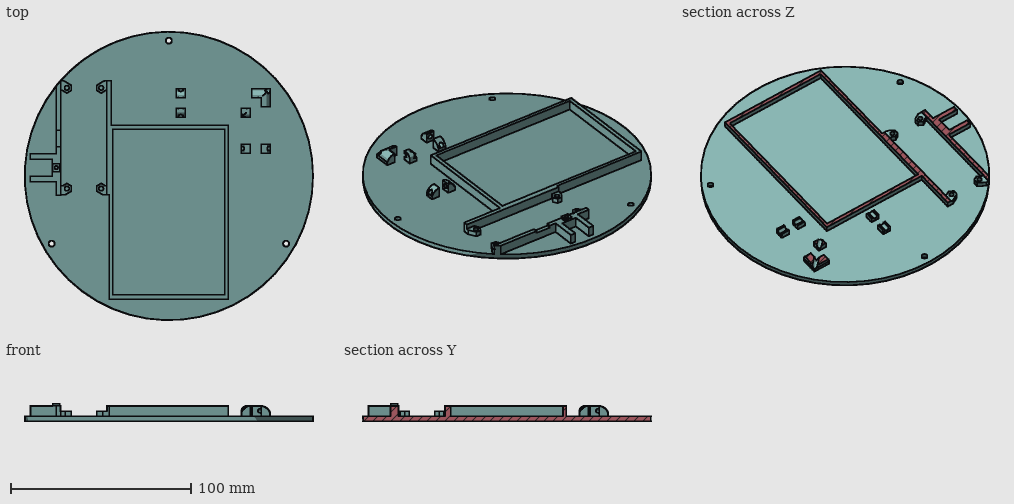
import cadquery as cq
import math

plate_diameter = 160.0
plate_thickness = 2.9
mount_hole_diameter = 3.2
mount_hole_radius = 75.0
mount_hole_count = 3

wall_height = 5.8

rail_thickness = 2.4
rail_gap = 25.6
rail_center_x = -47.2
rail_front_y = -10.4
rail_back_y = 52.8
left_rail_overhang = 0.2
left_rail_inner_x = rail_center_x - rail_gap / 2
right_rail_inner_x = rail_center_x + rail_gap / 2
notch_front_y = 16.2
notch_back_y = 25.3
notch_depth = 1.3

fork_tip_x = -76.8
fork_root_x = -64.6
fork_center_y = 4.6
fork_width = 15.4
fork_slot_width = 9.3
stud_length_x = 4.0
stud_length_y = 4.3
stud_height = 1.3
stud_hole_diameter = 2.0

standoff_height = 2.9
standoff_hex_diameter = 5.8
standoff_hole_diameter = 2.5
standoff_spacing_x = 19.0
standoff_spacing_y = 55.8
standoff_center_x = -47.0
standoff_center_y = 21.0

frame_length_x = 66.0
frame_length_y = 96.5
frame_wall_x = 2.0
frame_wall_y = 2.4
frame_center_y = -20.0

guide_side = 5.0
guide_gap = 6.0
guide_hole_diameter = 2.5
guide_hole_height = 3.0
guide_arc_inset = 5.5
guide_corner_round = 3.2
guide_outer_x = 56.2
guide_outer_y = 48.5
guide_row_x = 6.5
guide_row_y = 15.2
guide_span = 2 * guide_side + guide_gap
guide_arm_length = 10.0
guide_inner_x = guide_outer_x - guide_span
guide_inner_y = guide_outer_y - guide_span


def box_between(x_start, x_end, y_start, y_end, height, base=plate_thickness):
    """Upright box given by its X and Y limits, standing at the base level."""
    return (
        cq.Workplane("XY", origin=(x_start, y_start, base))
        .box(x_end - x_start, y_end - y_start, height, centered=False)
    )


def make_plate():
    return (
        cq.Workplane("XY")
        .circle(plate_diameter / 2)
        .extrude(plate_thickness)
        .faces(">Z")
        .workplane()
        .polarArray(mount_hole_radius, 90, 360, mount_hole_count)
        .hole(mount_hole_diameter)
    )


def make_frame():
    return (
        cq.Workplane("XY", origin=(0, frame_center_y, plate_thickness))
        .rect(frame_length_x, frame_length_y)
        .rect(frame_length_x - 2 * frame_wall_x, frame_length_y - 2 * frame_wall_y)
        .extrude(wall_height)
    )


def make_right_rail():
    return box_between(
        right_rail_inner_x, right_rail_inner_x + rail_thickness, rail_front_y, rail_back_y, wall_height
    )


def make_left_rail():
    """Notched rail with its back end trimmed to the round plate edge, plus the fork and its stud."""
    outer_x = left_rail_inner_x - rail_thickness
    front_y = rail_front_y - left_rail_overhang
    rail = box_between(outer_x, left_rail_inner_x, front_y, rail_back_y, wall_height)
    notch_floor = plate_thickness + wall_height - notch_depth
    rail = rail.cut(
        box_between(outer_x, left_rail_inner_x, notch_front_y, notch_back_y, notch_depth, notch_floor)
    )
    plate_edge = cq.Workplane("XY").circle(plate_diameter / 2).extrude(plate_thickness + wall_height)
    rail = rail.intersect(plate_edge)

    fork = box_between(
        fork_tip_x, left_rail_inner_x,
        fork_center_y - fork_width / 2, fork_center_y + fork_width / 2, wall_height,
    )
    slot = box_between(
        fork_tip_x, fork_root_x,
        fork_center_y - fork_slot_width / 2, fork_center_y + fork_slot_width / 2, wall_height,
    )
    stud = (
        cq.Workplane("XY", origin=(outer_x, fork_center_y, plate_thickness + wall_height))
        .rect(stud_length_x, stud_length_y)
        .circle(stud_hole_diameter / 2)
        .extrude(stud_height)
    )
    return rail.union(fork.cut(slot)).union(stud)


def make_standoff(side, end):
    """Hexagonal standoff webbed into a rail; side is -1 at the left rail, end is -1 at the front."""
    center_x = standoff_center_x + side * standoff_spacing_x / 2
    center_y = standoff_center_y + end * standoff_spacing_y / 2
    rail_x = rail_center_x + side * rail_gap / 2
    rail_end_y = rail_back_y if end > 0 else rail_front_y

    corner_radius = standoff_hex_diameter / 2
    half_flats = corner_radius * math.cos(math.radians(30))
    far_flat_x = center_x - side * half_flats
    near_flat_x = center_x + side * half_flats
    half_edge = corner_radius / 2
    end_distance = abs(rail_end_y - center_y)
    slope_x = center_x + side * (end_distance - corner_radius) / math.tan(math.radians(30))
    return (
        cq.Workplane("XY", origin=(0, 0, plate_thickness))
        .moveTo(rail_x, rail_end_y)
        .lineTo(slope_x, rail_end_y)
        .lineTo(far_flat_x, center_y + end * half_edge)
        .lineTo(far_flat_x, center_y - end * half_edge)
        .lineTo(center_x, center_y - end * corner_radius)
        .lineTo(near_flat_x, center_y - end * half_edge)
        .lineTo(rail_x, center_y - end * half_edge)
        .close()
        .moveTo(center_x, center_y)
        .circle(standoff_hole_diameter / 2)
        .extrude(standoff_height)
    )


def guide_hole(x, y, direction):
    """Horizontal wire bore passing through the point (x, y) along the given direction."""
    reach = guide_span
    length = math.hypot(*direction)
    start = cq.Vector(
        x - direction[0] / length * reach,
        y - direction[1] / length * reach,
        plate_thickness + guide_hole_height,
    )
    axis = cq.Vector(direction[0], direction[1], 0)
    return cq.Workplane(obj=cq.Solid.makeCylinder(guide_hole_diameter / 2, 2 * reach, start, axis))


def guide_profile(plane, outer_edge, inner_edge):
    """Guide outline: upright at both edges, joined by one arc centred at plate level."""
    radius = wall_height
    inward = math.copysign(1, inner_edge - outer_edge)
    arc_center = outer_edge + inward * guide_arc_inset

    def arc_point(angle):
        return (arc_center - inward * radius * math.cos(angle), plate_thickness + radius * math.sin(angle))

    start_angle = math.acos(guide_arc_inset / radius)
    end_angle = math.acos((guide_arc_inset - guide_side) / radius)
    return (
        cq.Workplane(plane)
        .moveTo(inner_edge, plate_thickness)
        .lineTo(outer_edge, plate_thickness)
        .lineTo(*arc_point(start_angle))
        .threePointArc(arc_point((start_angle + end_angle) / 2), arc_point(end_angle))
        .close()
    )


def bar_along_y(outer_x, inner_x, y_start, y_end):
    """Rounded guide bar running along Y."""
    bar = guide_profile("XZ", outer_x, inner_x).extrude(y_start - y_end)
    return bar.translate((0, y_start, 0))


def bar_along_x(outer_y, inner_y, x_start, x_end):
    """Rounded guide bar running along X."""
    bar = guide_profile("YZ", outer_y, inner_y).extrude(x_end - x_start)
    return bar.translate((x_start, 0, 0))


def make_pair_facing_y():
    """Two blocks in line along Y with their round sides turned away from each other."""
    x_start = guide_row_x - guide_side / 2
    x_end = guide_row_x + guide_side / 2
    back = bar_along_x(guide_outer_y, guide_outer_y - guide_side, x_start, x_end)
    front = bar_along_x(guide_inner_y, guide_inner_y + guide_side, x_start, x_end)
    return back.union(front).cut(guide_hole(guide_row_x, guide_outer_y - guide_span / 2, (0, 1)))


def make_pair_facing_x():
    """Two blocks in line along X with their round sides turned away from each other."""
    y_start = guide_row_y - guide_side / 2
    y_end = guide_row_y + guide_side / 2
    right = bar_along_y(guide_outer_x, guide_outer_x - guide_side, y_start, y_end)
    left = bar_along_y(guide_inner_x, guide_inner_x + guide_side, y_start, y_end)
    return right.union(left).cut(guide_hole(guide_outer_x - guide_span / 2, guide_row_y, (1, 0)))


def make_corner_guides():
    """Mitred L-shaped guide, the small block inside its corner, and the diagonal bore of both."""
    elbow_x = guide_outer_x - guide_side
    elbow_y = guide_outer_y - guide_side
    arm_end_x = guide_outer_x - guide_arm_length
    arm_end_y = guide_outer_y - guide_arm_length
    elbow = bar_along_x(guide_outer_y, elbow_y, elbow_x, guide_outer_x).intersect(
        bar_along_y(guide_outer_x, elbow_x, elbow_y, guide_outer_y)
    )
    elbow = elbow.union(bar_along_x(guide_outer_y, elbow_y, arm_end_x, elbow_x))
    elbow = elbow.union(bar_along_y(guide_outer_x, elbow_x, arm_end_y, elbow_y))

    block = (
        box_between(
            guide_inner_x, guide_inner_x + guide_side,
            guide_inner_y, guide_inner_y + guide_side, wall_height,
        )
        .faces(">Z")
        .edges("<X or <Y")
        .fillet(guide_corner_round)
    )
    bore = guide_hole(guide_outer_x - guide_span / 2, guide_outer_y - guide_span / 2, (1, 1))
    return elbow.union(block).cut(bore)


result = make_plate().union(make_frame()).union(make_right_rail()).union(make_left_rail())
for rail_side in (-1, 1):
    for rail_end in (-1, 1):
        result = result.union(make_standoff(rail_side, rail_end))
for guides in (make_pair_facing_y(), make_pair_facing_x(), make_corner_guides()):
    result = result.union(guides)